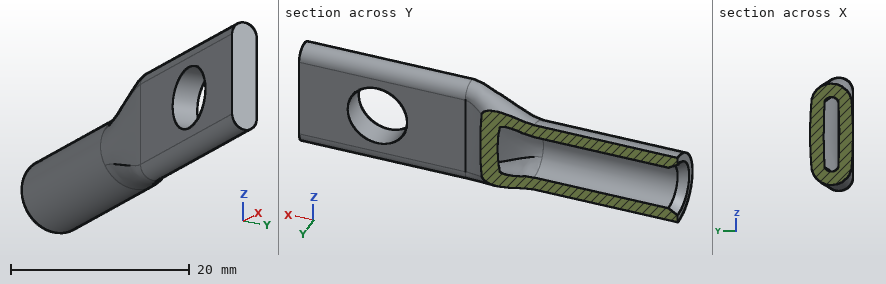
import cadquery as cq
import math

total_length = 46.5
barrel_length = 17.45
tongue_start = 26.25
barrel_radius = 4.3
bore_radius = 2.65
mouth_radius = 3.3
mouth_half_angle = 30
tongue_width = 12.7
tongue_thickness = 3.2
hole_x = 36.95
hole_diameter = 7.2

slit_thickness = 0.1

facing_half_angle = math.radians(30)
end_tangent = 0.2
section_count = 9

transition_length = tongue_start - barrel_length
tongue_radius = tongue_thickness / 2
flat_half_width = tongue_width / 2 - tongue_radius
tongue_center_y = tongue_radius - barrel_radius
mouth_depth = (mouth_radius - bore_radius) / math.tan(math.radians(mouth_half_angle))


def round_points(radius):
    """Corners and arc midpoints of the round section, in order around it."""
    side = radius * math.sin(facing_half_angle)
    face = radius * math.cos(facing_half_angle)
    return [(-face, -side), (-radius, 0), (-face, side), (0, radius),
            (face, side), (radius, 0), (face, -side), (0, -radius)]


def flat_points(half_thickness):
    """Matching points of the flattened section with rounded long edges."""
    y = tongue_center_y
    w = flat_half_width
    h = half_thickness
    return [(y - h, -w), (y - h, 0), (y - h, w), (y, w + h),
            (y + h, w), (y + h, 0), (y + h, -w), (y, -w - h)]


def section_wire(x, points, flat):
    """Closed section of two broad faces and two rounded edges."""
    p = [cq.Vector(x, y, z) for y, z in points]
    edges = []
    for i in range(0, len(p), 2):
        start = p[i]
        end = p[(i + 2) % len(p)]
        is_broad_face = i % 4 == 0
        if flat and is_broad_face:
            edges.append(cq.Edge.makeLine(start, end))
        else:
            edges.append(cq.Edge.makeThreePointArc(start, p[i + 1], end))
    return cq.Wire.assembleEdges(edges)


def transition(radius, half_thickness):
    """Smooth S-shaped change from a round section to a flat one."""
    round_section = round_points(radius)
    flat_section = flat_points(half_thickness)
    last = section_count - 1
    wires = []
    for i in range(section_count):
        u = i / last
        v = 1 - u
        along = 3 * end_tangent * u * v**2 + 3 * (1 - end_tangent) * u**2 * v + u**3
        blend = 3 * u**2 * v + u**3
        points = [
            (ry + blend * (fy - ry), rz + blend * (fz - rz))
            for (ry, rz), (fy, fz) in zip(round_section, flat_section)
        ]
        wires.append(section_wire(barrel_length + along * transition_length, points, i == last))
    return cq.Workplane(cq.Solid.makeLoft(wires))


def barrel():
    return cq.Workplane("YZ").circle(barrel_radius).extrude(barrel_length)


def tongue():
    wire = section_wire(tongue_start, flat_points(tongue_radius), True)
    length = cq.Vector(total_length - tongue_start, 0, 0)
    return cq.Workplane(cq.Solid.extrudeLinear(wire, [], length))


def bolt_hole():
    return (
        cq.Workplane("XZ")
        .center(hole_x, 0)
        .circle(hole_diameter / 2)
        .extrude(barrel_radius, both=True)
    )


def mouth():
    """Conical lead-in to the bore."""
    return cq.Workplane(cq.Solid.makeCone(
        mouth_radius, bore_radius, mouth_depth, cq.Vector(0, 0, 0), cq.Vector(1, 0, 0)
    ))


def bore():
    return cq.Workplane("YZ").circle(bore_radius).extrude(barrel_length)


body = barrel().union(transition(barrel_radius, tongue_radius)).union(tongue())
result = (
    body
    .cut(bore())
    .cut(transition(bore_radius, slit_thickness / 2))
    .cut(mouth())
    .cut(bolt_hole())
)